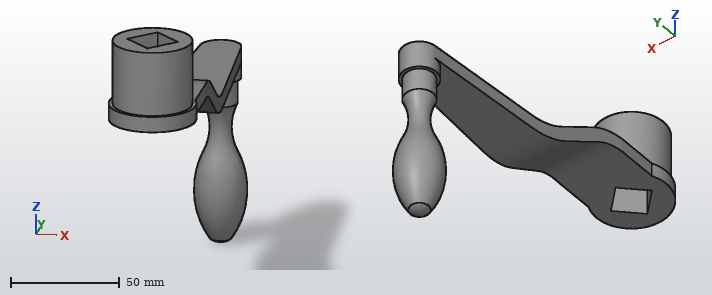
import cadquery as cq
import math

plate_thickness = 7.5
hub_diameter = 37.0
hub_height = 30.6
flange_diameter = 40.7
square_side = 17.0

crank_length = 160.0
tip_radius = 9.6
arm_drop = 24.3
bend_start = 31.5
bend_radius = 38.5
bend_angle = math.radians(31)

boss_height = 7.5
collar_diameter = 16.0
collar_length = 12.1
neck_radius = 5.2
neck_length = 23.9
grip_radius = 12.43
grip_widest = 19.0
grip_length = 42.0
grip_end_radius = 5.2
dome_height = 2.0


def make_arm_side():
    """Side profile of the arm, of constant thickness around two concentric bends, extruded along X."""
    sine = math.sin(bend_angle)
    cosine = math.cos(bend_angle)
    bend_fall = bend_radius * (1 - cosine)
    slope_run = (arm_drop - 2 * bend_fall) / math.tan(bend_angle)
    bend_end = bend_start + 2 * bend_radius * sine + slope_run
    arm_end = crank_length + tip_radius
    arm_top = plate_thickness
    tip_top = arm_top - arm_drop
    upper_center_z = arm_top - bend_radius
    lower_center_z = tip_top + bend_radius
    upper_inner_radius = bend_radius - plate_thickness
    lower_outer_radius = bend_radius + plate_thickness

    def upper_bend(radius, angle):
        return bend_start + radius * math.sin(angle), upper_center_z + radius * math.cos(angle)

    def lower_bend(radius, angle):
        return bend_end - radius * math.sin(angle), lower_center_z - radius * math.cos(angle)

    half_angle = bend_angle / 2
    return (
        cq.Workplane("YZ")
        .moveTo(0, arm_top)
        .lineTo(bend_start, arm_top)
        .threePointArc(upper_bend(bend_radius, half_angle), upper_bend(bend_radius, bend_angle))
        .lineTo(*lower_bend(bend_radius, bend_angle))
        .threePointArc(lower_bend(bend_radius, half_angle), (bend_end, tip_top))
        .lineTo(arm_end, tip_top)
        .lineTo(arm_end, -arm_drop)
        .lineTo(bend_end, -arm_drop)
        .threePointArc(lower_bend(lower_outer_radius, half_angle), lower_bend(lower_outer_radius, bend_angle))
        .lineTo(*upper_bend(upper_inner_radius, bend_angle))
        .threePointArc(upper_bend(upper_inner_radius, half_angle), (bend_start, 0))
        .lineTo(0, 0)
        .close()
        .extrude(hub_diameter / 2, both=True)
    )


def make_arm_plan():
    """Plan outline: parallel beside the hub, then tapering tangentially into the round tip."""
    half_width = hub_diameter / 2
    taper_length = crank_length - bend_start
    corner_distance = math.hypot(half_width, taper_length)
    tangent_angle = math.acos(tip_radius / corner_distance) - math.atan2(taper_length, half_width)
    tangent_x = tip_radius * math.cos(tangent_angle)
    tangent_y = crank_length + tip_radius * math.sin(tangent_angle)
    return (
        cq.Workplane("XY")
        .workplane(offset=-arm_drop)
        .moveTo(-half_width, 0)
        .lineTo(half_width, 0)
        .lineTo(half_width, bend_start)
        .lineTo(tangent_x, tangent_y)
        .threePointArc((0, crank_length + tip_radius), (-tangent_x, tangent_y))
        .lineTo(-half_width, bend_start)
        .close()
        .extrude(arm_drop + plate_thickness)
    )


def make_hub():
    flange = cq.Workplane("XY").circle(flange_diameter / 2).extrude(plate_thickness)
    return flange.faces(">Z").workplane().circle(hub_diameter / 2).extrude(hub_height)


def make_handle():
    """Revolved boss, collar, waisted neck, bulging grip and domed end."""
    collar_radius = collar_diameter / 2
    boss_top = -arm_drop
    boss_bottom = boss_top - boss_height
    neck_top = boss_bottom - collar_length
    grip_top = neck_top - neck_length
    grip_bottom = grip_top - grip_length
    dome_sphere = (grip_end_radius**2 + dome_height**2) / (2 * dome_height)
    profile = (
        cq.Workplane("XZ")
        .moveTo(0, boss_top)
        .lineTo(tip_radius, boss_top)
        .lineTo(tip_radius, boss_bottom)
        .lineTo(collar_radius, boss_bottom)
        .lineTo(collar_radius, neck_top)
        .threePointArc((neck_radius, neck_top - neck_length / 2), (collar_radius, grip_top))
        .threePointArc((grip_radius, grip_top - grip_widest), (grip_end_radius, grip_bottom))
        .radiusArc((0, grip_bottom - dome_height), dome_sphere)
        .close()
    )
    return profile.revolve(360, (0, 0, 0), (0, 1, 0)).translate((0, crank_length, 0))


def make_square_hole():
    """Square drive hole through the hub, with its corners on the X and Y axes."""
    hole = cq.Workplane("XY").rect(square_side, square_side).extrude(plate_thickness + hub_height)
    return hole.rotate((0, 0, 0), (0, 0, 1), 45)


arm = make_arm_side().intersect(make_arm_plan())
result = make_hub().union(arm).union(make_handle()).cut(make_square_hole())